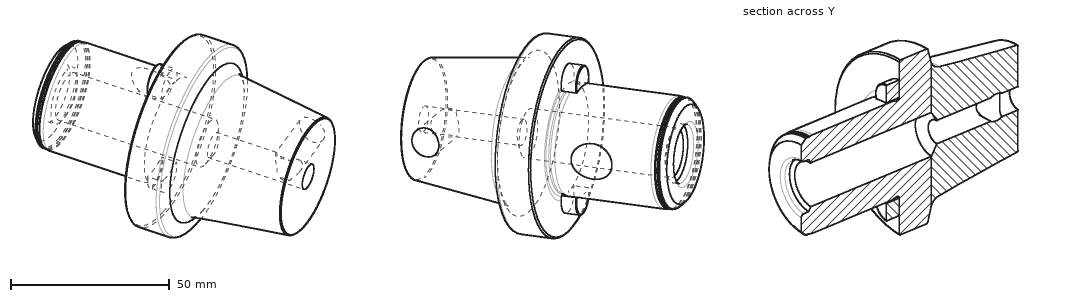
import cadquery as cq
import math


shank_radius = 18.1
shank_end_radius = 15.9
pilot_radius = 17.9
pilot_groove_depth = 0.2
shank_chamfer = 1.8
pilot_groove_start_x = 2.2
pilot_groove_end_x = 3.4
pilot_groove_wall = 0.3
shank_start_x = 4.6

relief_start_x = 37.3
relief_floor_x = 38.9
relief_round_x = 39.5
relief_floor_radius = 17.6
relief_face_depth = 0.2
relief_outer_radius = 19.85

flange_x = 40.05
flange_diameter = 64.0
flange_radius = flange_diameter / 2
flange_edge = 0.5
flange_rim_end_x = 51.3
back_round_radius = 0.9
back_angle = math.radians(15)

nose_end_x = 89.0
nose_end_radius = 19.6
nose_chamfer = 0.4
nose_angle = math.radians(7.2)
nose_fillet = 3.8
split_x = 53.4

mouth_radius = 10.5
mouth_round = 1.1
mouth_depth = 3.0
bore_radius = 7.9
through_radius = 4.2
bore_cone_angle = math.radians(60)

recess_x = 24.7
recess_radius = 6.9
side_hole_x = 80.1
side_hole_radius = 4.8

key_radius = 5.4
key_offset = 19.4
key_length = 5.2
key_inner_radius = 18.25
key_chamfer = 0.3


def revolve_about_x(profile):
    """Turn a closed profile of (X, radius) about the X axis."""
    return profile.close().revolve(360, (0, 0, 0), (1, 0, 0))


def arc_middle(start, centre, end):
    """Point halfway along the short arc about a centre from start to end."""
    radius = math.dist(start, centre)
    mid_x = (start[0] + end[0]) / 2 - centre[0]
    mid_r = (start[1] + end[1]) / 2 - centre[1]
    reach = radius / math.hypot(mid_x, mid_r)
    return (centre[0] + mid_x * reach, centre[1] + mid_r * reach)


fillet_drop = nose_fillet * (math.cos(nose_angle) - math.sin(back_angle))
fillet_run = nose_fillet * (math.cos(back_angle) - math.sin(nose_angle))
nose_start_x = split_x + fillet_run
taper_end_x = nose_end_x - nose_chamfer
nose_start_radius = nose_end_radius + (taper_end_x - nose_start_x) * math.tan(nose_angle)
split_radius = nose_start_radius + fillet_drop
fillet_centre = (
    nose_start_x + nose_fillet * math.sin(nose_angle),
    nose_start_radius + nose_fillet * math.cos(nose_angle),
)

back_round_centre = (flange_rim_end_x, flange_radius - back_round_radius)
back_cone_start = (
    back_round_centre[0] + back_round_radius * math.cos(back_angle),
    back_round_centre[1] + back_round_radius * math.sin(back_angle),
)


def make_shank():
    """Shank and flange, with the stepped bore and the conical side recess."""
    pilot_groove_radius = pilot_radius - pilot_groove_depth
    rim_end = (flange_rim_end_x, flange_radius)
    mouth_inner_radius = mouth_radius - mouth_round
    mouth_start = (0, mouth_radius)
    mouth_end = (mouth_round, mouth_inner_radius)
    mouth_middle = arc_middle(mouth_end, (mouth_round, mouth_radius), mouth_start)
    shoulder_x = mouth_depth + (mouth_inner_radius - bore_radius) / math.tan(bore_cone_angle)
    relief_round_start = (relief_round_x, relief_floor_radius)
    relief_round = flange_x + relief_face_depth - relief_round_x
    relief_round_end = (flange_x + relief_face_depth, relief_floor_radius + relief_round)
    relief_round_centre = (relief_round_x, relief_floor_radius + relief_round)
    relief_round_middle = arc_middle(relief_round_start, relief_round_centre, relief_round_end)
    profile = (
        cq.Workplane("XY")
        .moveTo(*mouth_start)
        .lineTo(0, shank_end_radius)
        .lineTo(shank_chamfer, shank_end_radius + shank_chamfer)
        .lineTo(pilot_groove_start_x, pilot_radius)
        .lineTo(pilot_groove_start_x + pilot_groove_wall, pilot_groove_radius)
        .lineTo(pilot_groove_end_x - pilot_groove_wall, pilot_groove_radius)
        .lineTo(pilot_groove_end_x, pilot_radius)
        .lineTo(shank_start_x, shank_radius)
        .lineTo(relief_start_x, shank_radius)
        .lineTo(relief_floor_x, relief_floor_radius)
        .lineTo(*relief_round_start)
        .threePointArc(relief_round_middle, relief_round_end)
        .lineTo(flange_x, relief_outer_radius)
        .lineTo(flange_x, flange_radius - flange_edge)
        .lineTo(flange_x + flange_edge, flange_radius)
        .lineTo(*rim_end)
        .threePointArc(arc_middle(rim_end, back_round_centre, back_cone_start), back_cone_start)
        .lineTo(split_x, split_radius)
        .lineTo(split_x, bore_radius)
        .lineTo(shoulder_x, bore_radius)
        .lineTo(mouth_depth, mouth_inner_radius)
        .lineTo(*mouth_end)
        .threePointArc(mouth_middle, mouth_start)
    )
    recess = cq.Solid.makeCone(
        recess_radius, 0, recess_radius, cq.Vector(recess_x, shank_radius, 0), cq.Vector(0, -1, 0)
    )
    return revolve_about_x(profile).cut(cq.Workplane(recess))


def make_nose():
    """Tapered nose, with the conical end of the bore, a through bore and a side hole."""
    bore_cone_end_x = split_x + (bore_radius - through_radius) / math.tan(bore_cone_angle)
    split_rim = (split_x, split_radius)
    nose_start = (nose_start_x, nose_start_radius)
    profile = (
        cq.Workplane("XY")
        .moveTo(split_x, bore_radius)
        .lineTo(*split_rim)
        .threePointArc(arc_middle(split_rim, fillet_centre, nose_start), nose_start)
        .lineTo(taper_end_x, nose_end_radius)
        .lineTo(nose_end_x, nose_end_radius - nose_chamfer)
        .lineTo(nose_end_x, through_radius)
        .lineTo(bore_cone_end_x, through_radius)
    )
    side_hole = cq.Solid.makeCylinder(
        side_hole_radius, nose_start_radius, cq.Vector(side_hole_x, 0, 0), cq.Vector(0, 1, 0)
    )
    return revolve_about_x(profile).cut(cq.Workplane(side_hole))


def make_key(side):
    """Round drive key standing on the flange face, above (+1) or below (-1) the shank."""
    start_x = flange_x - key_length
    clearance = cq.Workplane("YZ", origin=(start_x, 0, 0)).circle(key_inner_radius).extrude(key_length)
    return (
        cq.Workplane("YZ", origin=(start_x, 0, side * key_offset))
        .circle(key_radius)
        .extrude(key_length)
        .faces("<X")
        .chamfer(key_chamfer)
        .cut(clearance)
    )


shank = make_shank()
nose = make_nose()
keys = [make_key(side) for side in (1, -1)]

result = cq.Compound.makeCompound([shank.val(), nose.val(), *[key.val() for key in keys]])